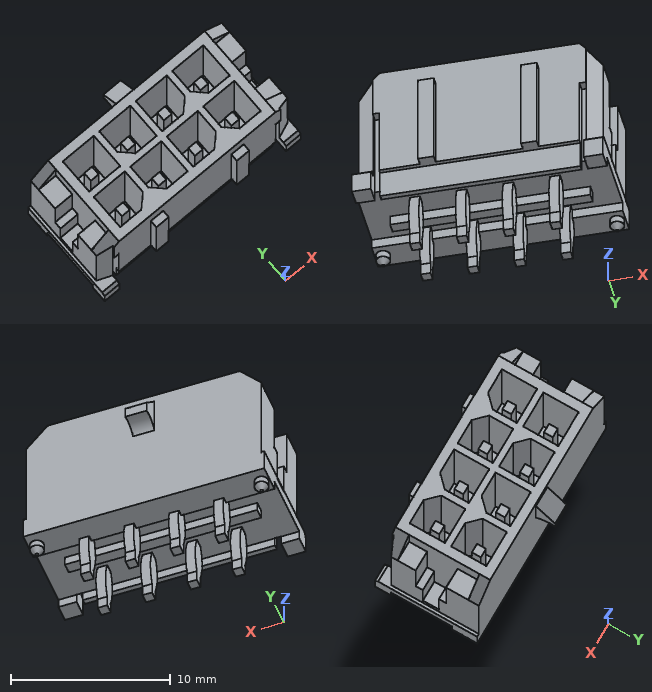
import cadquery as cq


body_half_length = 6.45
body_half_width = 3.44
body_height = 9.95
end_half_length = 7.87
shoulder_height = 8.3
corner_x = 6.85
corner_inner_y = -3.33
corner_outer_y = -2.92
skirt_height = 1.9
skirt_front_y = -3.17

base_half_length = 8.08
base_height = 1.63
foot_front_y = -3.97
foot_chamfer = 0.25
channel_height = 0.68
channel_back_y = 1.6
channel_front_y = -2.81
center_rib_width = 0.7

slot_center_y = -0.03
slot_wide = 2.21
slot_narrow = 1.16
slot_step_z = 4.62
slot_floor_z = 2.15
ledge_back_y = 2.66
ledge_front_y = -2.44
relief_top_z = 6.64

columns = 4
pitch = 3.0
cavity_size = 2.55
cavity_floor_z = skirt_height
key_chamfer = 0.8
back_row_keys = ("none", "left", "right", "left")
front_row_keys = ("right", "left", "right", "left")

pin_size = 0.65
pin_top_z = 7.27
pin_bottom_z = -3.15
bulge_bottom_z = -2.33
bulge_half_width = 0.61

rib_width = 1.02
rib_offset_x = 3.31
rib_top_z = 8.38

latch_width = 1.44
latch_tip_y = 4.83
latch_top_z = 9.35
latch_tip_top_z = 7.75
latch_tip_bottom_z = 6.98
latch_arc_y = 4.07
latch_arc_z = 7.04
latch_root_z = 6.59

peg_x = 7.53
peg_y = 2.44
peg_radius = 0.45
peg_tip_radius = 0.1
peg_shoulder_z = -0.47
peg_tip_z = -0.85


def block(x_range, y_range, z_range):
    """Box spanning the given pairs of limits."""
    limits = (x_range, y_range, z_range)
    sizes = [high - low for low, high in limits]
    return cq.Workplane("XY").box(*sizes, centered=False).translate([low for low, high in limits])


def both_ends(solid):
    """The solid together with its mirror image across the YZ plane."""
    return solid.union(solid.mirror("YZ"))


def extrude_along_x(profile, width):
    """Extrude a YZ sketch equally to both sides of its plane."""
    return profile.extrude(width / 2, both=True)


def core():
    """Central block, set back at the front below the skirt line."""
    length = (-body_half_length, body_half_length)
    upper = block(length, (-body_half_width, body_half_width), (skirt_height, body_height))
    skirt = block(length, (skirt_front_y, body_half_width), (0, skirt_height))
    return upper.union(skirt)


def end_wall():
    """+X end wall: sloped top, tapered front corner, stepped slot and front relief."""
    wall = (
        cq.Workplane("XY")
        .moveTo(body_half_length, body_half_width)
        .lineTo(end_half_length, body_half_width)
        .lineTo(end_half_length, corner_outer_y)
        .lineTo(corner_x, corner_inner_y)
        .lineTo(corner_x, -body_half_width)
        .lineTo(body_half_length, -body_half_width)
        .close()
        .extrude(body_height)
    )
    slope = (
        cq.Workplane("XZ")
        .moveTo(body_half_length, body_height)
        .lineTo(end_half_length, shoulder_height)
        .lineTo(end_half_length, body_height)
        .close()
        .extrude(body_half_width, both=True)
    )
    depth = (body_half_length, end_half_length)
    ledge = block(depth, (ledge_front_y, ledge_back_y), (shoulder_height, body_height))
    wall = wall.cut(slope).cut(ledge)
    for width, floor_z in ((slot_wide, slot_step_z), (slot_narrow, slot_floor_z)):
        sides = (slot_center_y - width / 2, slot_center_y + width / 2)
        wall = wall.cut(block(depth, sides, (floor_z, body_height)))
    return wall


def end_base():
    """Thickened +X base that reaches forward into a chamfered foot."""
    plate = block((body_half_length, base_half_length), (corner_inner_y, body_half_width), (0, base_height))
    foot = (
        block((corner_x, base_half_length), (foot_front_y, channel_front_y), (0, base_height))
        .edges("<Y and >Z")
        .chamfer(foot_chamfer)
    )
    return plate.union(foot)


def end_relief():
    """Vertical gap between the core and the +X front corner and foot."""
    return block((body_half_length, corner_x), (-body_half_width, channel_front_y), (0, relief_top_z))


def cavity(x, y, key):
    """Contact cavity with one front corner optionally filled as a key."""
    pocket = (
        cq.Workplane("XY", origin=(x, y, cavity_floor_z))
        .rect(cavity_size, cavity_size)
        .extrude(body_height - cavity_floor_z)
    )
    if key == "left":
        pocket = pocket.edges("|Z and <X and <Y").chamfer(key_chamfer)
    elif key == "right":
        pocket = pocket.edges("|Z and >X and <Y").chamfer(key_chamfer)
    return pocket


def pin(x, y):
    """Square contact pin with a press-fit bulge beneath the housing."""
    half = pin_size / 2
    bulge_middle_z = (channel_height + bulge_bottom_z) / 2
    profile = (
        cq.Workplane("YZ", origin=(x, y, 0))
        .moveTo(-half, pin_top_z)
        .lineTo(-half, channel_height)
        .threePointArc((-bulge_half_width, bulge_middle_z), (-half, bulge_bottom_z))
        .lineTo(-half, pin_bottom_z)
        .lineTo(half, pin_bottom_z)
        .lineTo(half, bulge_bottom_z)
        .threePointArc((bulge_half_width, bulge_middle_z), (half, channel_height))
        .lineTo(half, pin_top_z)
        .close()
    )
    return extrude_along_x(profile, pin_size)


def front_rib():
    """Polarising rib on the +X half of the front face."""
    sides = (rib_offset_x - rib_width / 2, rib_offset_x + rib_width / 2)
    return block(sides, (foot_front_y, -body_half_width), (skirt_height, rib_top_z))


def latch():
    """Ramp on the back face with a concave underside."""
    profile = (
        cq.Workplane("YZ")
        .moveTo(body_half_width, latch_top_z)
        .lineTo(latch_tip_y, latch_tip_top_z)
        .lineTo(latch_tip_y, latch_tip_bottom_z)
        .threePointArc((latch_arc_y, latch_arc_z), (body_half_width, latch_root_z))
        .close()
    )
    return extrude_along_x(profile, latch_width)


def peg():
    """Locating peg with a conical tip under the +X end."""
    return (
        cq.Workplane("XZ", origin=(peg_x, peg_y, 0))
        .lineTo(peg_radius, 0)
        .lineTo(peg_radius, peg_shoulder_z)
        .lineTo(peg_tip_radius, peg_tip_z)
        .lineTo(0, peg_tip_z)
        .close()
        .revolve(360, (0, 0, 0), (0, 1, 0))
    )


housing = core().union(both_ends(end_wall().union(end_base()).cut(end_relief())))

base_length = (-base_half_length, base_half_length)
housing = housing.cut(block(base_length, (channel_front_y, channel_back_y), (0, channel_height)))
center_rib = block(
    (-body_half_length, body_half_length),
    (-center_rib_width / 2, center_rib_width / 2),
    (0, channel_height),
)
housing = housing.union(center_rib)

housing = housing.union(both_ends(front_rib())).union(both_ends(peg())).union(latch())

contacts = []
for row_y, keys in ((pitch / 2, back_row_keys), (-pitch / 2, front_row_keys)):
    for column, key in enumerate(keys):
        contacts.append(((column - (columns - 1) / 2) * pitch, row_y, key))
for x, y, key in contacts:
    housing = housing.cut(cavity(x, y, key))
for x, y, key in contacts:
    housing = housing.union(pin(x, y))

result = housing